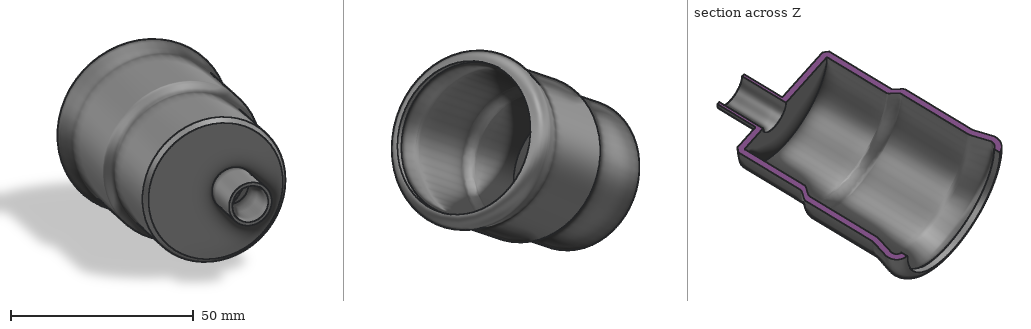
import cadquery as cq
import math

total_length = 72.0
cup_length = 59.05
wall = 2.0
body_radius = 23.2
neck_radius = 21.0
end_chamfer = 1.3

bead_outer_radius = 25.0
bead_roll_radius = 3.95
mouth_radius = 21.4
flare_angle = math.radians(18.8)
flare_blend_end = 10.95
flare_blend_radius = 2.6

step_start = 33.3
step_end = 36.8

tube_radius = 6.3
tube_bore_radius = 5.25
tube_offset = 5.2

bead_centre_r = bead_outer_radius - bead_roll_radius
bead_centre_x = math.sqrt(bead_roll_radius**2 - (mouth_radius - bead_centre_r) ** 2)


def bead_point(roll_radius, angle):
    """Point on the bead section; angle 0 is outermost, positive towards the body."""
    x = bead_centre_x + roll_radius * math.sin(angle)
    r = bead_centre_r + roll_radius * math.cos(angle)
    return (x, r)


def lip_point(roll_radius):
    """Front point of a bead arc at the mouth radius."""
    angle = math.acos((mouth_radius - bead_centre_r) / roll_radius)
    return bead_point(roll_radius, -angle)


def blend_point(blend_radius, cylinder_radius, angle):
    """Point on the concave blend, measured back from its end on the cylinder."""
    x = flare_blend_end - blend_radius * math.sin(angle)
    r = cylinder_radius + blend_radius * (1 - math.cos(angle))
    return (x, r)


def step_curve(front_radius, rear_radius):
    """Control points of an S-curve that is axial at both ends of the step."""
    third = (step_end - step_start) / 3
    return [
        (step_start, front_radius),
        (step_start + third, front_radius),
        (step_end - third, rear_radius),
        (step_end, rear_radius),
    ]


def make_cup():
    """Revolve the closed wall section about the X axis."""
    inner_roll = bead_roll_radius - wall
    inner_blend = flare_blend_radius + wall
    body_bore = body_radius - wall
    neck_bore = neck_radius - wall
    section = (
        cq.Workplane("XY")
        .moveTo(*lip_point(bead_roll_radius))
        .threePointArc(
            bead_point(bead_roll_radius, 0),
            bead_point(bead_roll_radius, flare_angle),
        )
        .lineTo(*blend_point(flare_blend_radius, body_radius, flare_angle))
        .threePointArc(
            blend_point(flare_blend_radius, body_radius, flare_angle / 2),
            (flare_blend_end, body_radius),
        )
        .lineTo(step_start, body_radius)
        .bezier(step_curve(body_radius, neck_radius))
        .lineTo(cup_length - end_chamfer, neck_radius)
        .lineTo(cup_length, neck_radius - end_chamfer)
        .lineTo(cup_length, 0)
        .lineTo(cup_length - wall, 0)
        .lineTo(cup_length - wall, neck_bore)
        .lineTo(step_end, neck_bore)
        .bezier(step_curve(body_bore, neck_bore)[::-1])
        .lineTo(flare_blend_end, body_bore)
        .threePointArc(
            blend_point(inner_blend, body_bore, flare_angle / 2),
            blend_point(inner_blend, body_bore, flare_angle),
        )
        .lineTo(*bead_point(inner_roll, flare_angle))
        .threePointArc(bead_point(inner_roll, 0), lip_point(inner_roll))
        .close()
    )
    return section.revolve(360, (0, 0, 0), (1, 0, 0))


def tube_cylinder(radius, start_x):
    """Cylinder on the tube axis, from start_x to the far end of the part."""
    return (
        cq.Workplane("YZ", origin=(start_x, 0, 0))
        .center(tube_offset, 0)
        .circle(radius)
        .extrude(total_length - start_x)
    )


floor_start = cup_length - wall
tube = tube_cylinder(tube_radius, floor_start)
tube_bore = tube_cylinder(tube_bore_radius, floor_start)

result = make_cup().union(tube).cut(tube_bore)